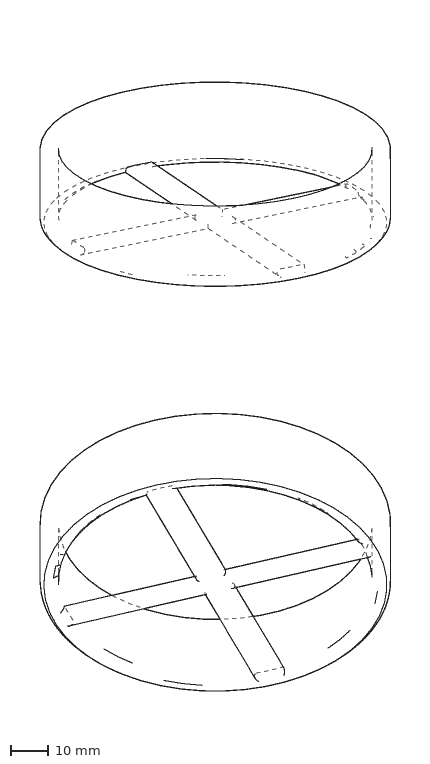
import cadquery as cq

outer_diameter = 94.0
inner_diameter = 84.0
ring_height = 22.0
edge_radius = 1.0
base_chamfer = 1.0
inner_base_radius = 1.5
base_corner_radius = 1.2

bar_width_along_x = 8.5
bar_width_along_y = 7.05
bar_thickness = 2.0
bar_edge_radius = 0.75

wall_middle_diameter = (outer_diameter + inner_diameter) / 2


def make_ring():
    """Upright ring with rounded inner and top rims and a chamfered, softened outer base."""
    disc = cq.Workplane("XY").circle(outer_diameter / 2).extrude(ring_height)
    disc = disc.faces("<Z").edges().chamfer(base_chamfer)
    chamfer_top = cq.selectors.BoxSelector(
        (-outer_diameter, -outer_diameter, base_chamfer / 2),
        (outer_diameter, outer_diameter, base_chamfer * 2),
    )
    disc = disc.edges("%CIRCLE").edges(chamfer_top).fillet(base_corner_radius)
    ring = disc.cut(cq.Workplane("XY").circle(inner_diameter / 2).extrude(ring_height))
    ring = ring.faces(">Z").edges().fillet(edge_radius)
    inner_base_rim = cq.selectors.RadiusNthSelector(0)
    return ring.faces("<Z").edges(inner_base_rim).fillet(inner_base_radius)


def make_cross():
    """Two crossing bars, rounded along their top and bottom edges and trimmed inside the ring wall."""
    bar_x = cq.Workplane("XY").rect(outer_diameter, bar_width_along_x).extrude(bar_thickness)
    bar_y = cq.Workplane("XY").rect(bar_width_along_y, outer_diameter).extrude(bar_thickness)
    cross = bar_x.union(bar_y)
    cross = cross.faces("|Z").edges().fillet(bar_edge_radius)
    trim = cq.Workplane("XY").circle(wall_middle_diameter / 2).extrude(bar_thickness)
    return cross.intersect(trim)


result = make_ring().union(make_cross())